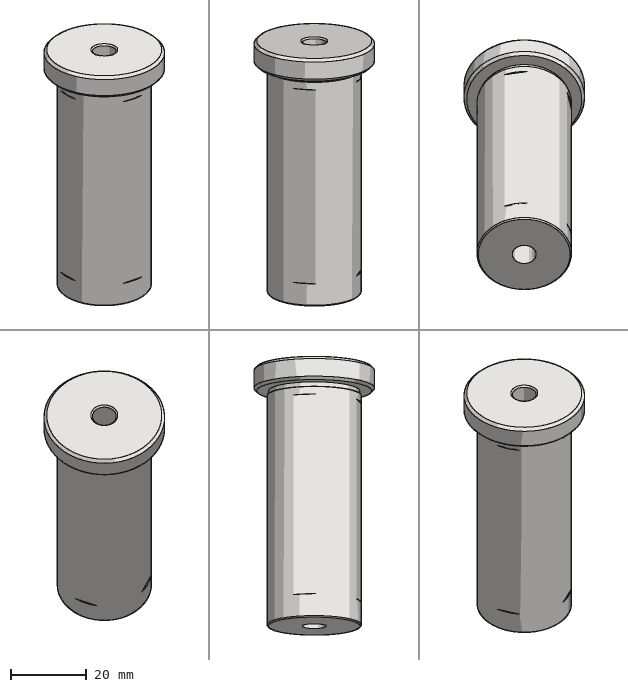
import cadquery as cq
import math

total_height = 69.85
head_diameter = 32.0
head_height = 6.3
head_chamfer = 0.8
shank_diameter = 25.0
shank_chamfer = 0.35

groove_diameter = 24.2
groove_height = 1.25

bore_diameter = 6.3
bore_chamfer = 0.4

flat_count = 4
flat_width = 6.0
flat_bottom = 6.3
flat_top = 60.2

head_radius = head_diameter / 2
shank_radius = shank_diameter / 2
head_bottom = total_height - head_height


def make_shank():
    shank = cq.Workplane("XY").circle(shank_radius).extrude(head_bottom - groove_height)
    return shank.faces("<Z").chamfer(shank_chamfer)


def make_neck():
    start = cq.Workplane("XY").workplane(offset=head_bottom - groove_height)
    return start.circle(groove_diameter / 2).extrude(groove_height)


def make_head():
    head = cq.Workplane("XY").workplane(offset=head_bottom).circle(head_radius).extrude(head_height)
    return head.faces("<Z or >Z").chamfer(head_chamfer)


def make_flat_cutter(angle):
    chord_distance = math.sqrt(shank_radius**2 - (flat_width / 2) ** 2)
    cutter = cq.Workplane("XY").box(
        shank_radius, shank_diameter, flat_top - flat_bottom, centered=(False, True, False)
    )
    cutter = cutter.translate((chord_distance, 0, flat_bottom))
    return cutter.rotate((0, 0, 0), (0, 0, 1), angle)


def make_bore():
    mouth_radius = bore_diameter / 2 + bore_chamfer
    profile = [
        (0, 0),
        (bore_diameter / 2, 0),
        (bore_diameter / 2, total_height - bore_chamfer),
        (mouth_radius, total_height),
        (0, total_height),
    ]
    return cq.Workplane("XZ").polyline(profile).close().revolve(360, (0, 0), (0, 1))


result = make_shank().union(make_neck()).union(make_head())
for index in range(flat_count):
    result = result.cut(make_flat_cutter(index * 360 / flat_count))
result = result.cut(make_bore())